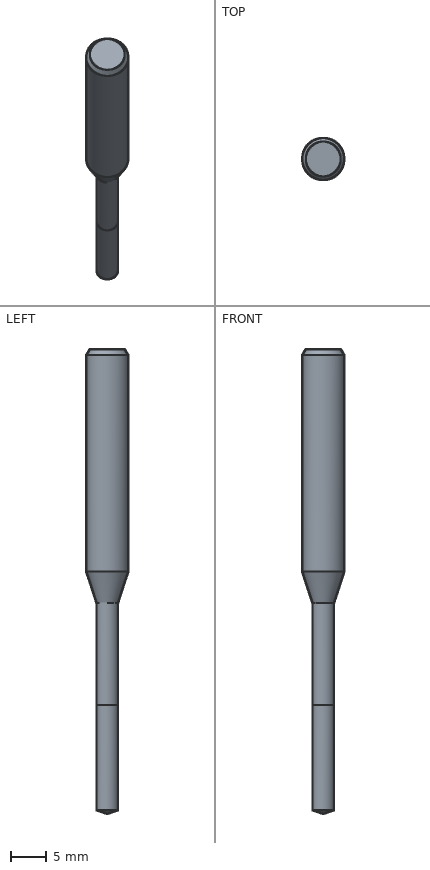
import cadquery as cq

TOTAL_LENGTH = 66.0
SHANK_DIAMETER = 6.0
STEM_DIAMETER = 3.1

POINT_HEIGHT = 0.5
TIP_TOP = 15.45
NECK_TOP = 29.95
SHANK_BOTTOM = 34.4

CHAMFER_WIDTH = 0.5
CHAMFER_HEIGHT = 0.85


def revolve_profile(points):
    """Revolve a closed (radius, height) profile about the Z axis."""
    return cq.Workplane("XZ").polyline(points).close().revolve(360, (0, 0), (0, 1))


def make_holder():
    """Chamfered shank that tapers down to a slim neck."""
    shank_radius = SHANK_DIAMETER / 2
    neck_radius = STEM_DIAMETER / 2
    return revolve_profile([
        (0, TIP_TOP),
        (neck_radius, TIP_TOP),
        (neck_radius, NECK_TOP),
        (shank_radius, SHANK_BOTTOM),
        (shank_radius, TOTAL_LENGTH - CHAMFER_HEIGHT),
        (shank_radius - CHAMFER_WIDTH, TOTAL_LENGTH),
        (0, TOTAL_LENGTH),
    ])


def make_cutting_tip():
    """Round cutting end with a shallow conical point, butted against the neck."""
    tip_radius = STEM_DIAMETER / 2
    return revolve_profile([
        (0, 0),
        (tip_radius, POINT_HEIGHT),
        (tip_radius, TIP_TOP),
        (0, TIP_TOP),
    ])


holder = make_holder()
cutting_tip = make_cutting_tip()
result = cq.Compound.makeCompound([holder.val(), cutting_tip.val()])